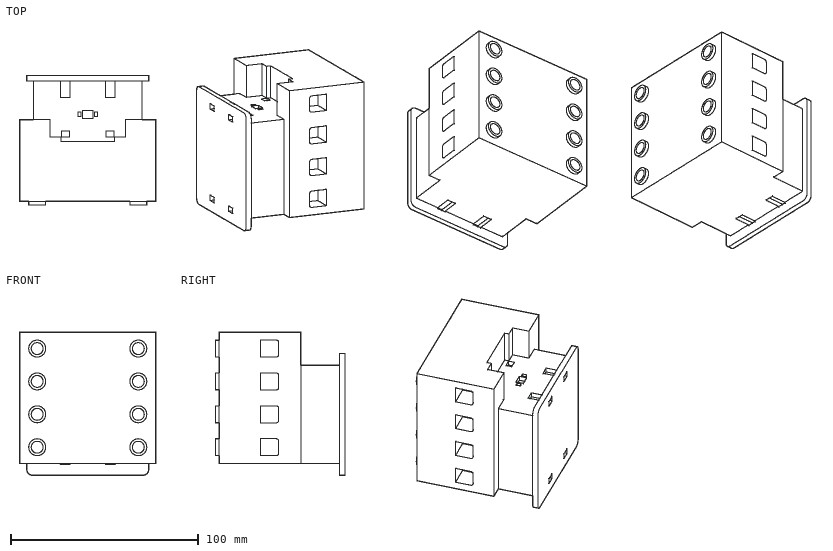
import cadquery as cq

block_width = 72.5
block_height = 70.0
block_depth = 43.5

overall_height = 76.25
bezel_size = 65.0
bezel_thickness = 3.0
bezel_corner_radius = 3.1
bezel_overhang = overall_height - block_height

housing_width = 57.95
housing_height = bezel_size - 2 * bezel_overhang

overall_depth = 69.0
boss_height = 2.0
boss_diameter = 9.0
boss_hole_diameter = 6.3
boss_hole_depth = 9.15
boss_offset = 26.9
row_count = 4
row_pitch = block_height / row_count

entry_front = 21.9
entry_length = 9.8
entry_height = 9.0
entry_depth = 11.4
entry_corner_radius = 1.3

bezel_back = overall_depth - boss_height
bezel_front = bezel_back - bezel_thickness

notch_width = 40.4
notch_depth = 9.15
notch_step_width = 28.5
notch_step_depth = 11.6

latch_offset = 12.05
latch_width = 5.1
latch_front = 55.2
latch_depth = 2.5
latch_bezel_clearance = 0.45

recess_depth = latch_depth
centre_recess_size = (5.4, 4.1)
centre_recess_y = 46.3
side_recess_size = (1.75, 2.4)
side_recess_offset = 4.4
corner_recess_size = (4.2, 3.2)
corner_recess_offset = 11.9
corner_recess_y = 35.8


def box(x_centre, width, y_start, y_end, z_start, z_end):
    """Box centred on x_centre, spanning the given y and z ranges."""
    return cq.Workplane("XY").box(
        width, y_end - y_start, z_end - z_start, centered=(True, False, False)
    ).translate((x_centre, y_start, z_start))


def front_cylinder(x, z, diameter, y_start, y_end):
    """Cylinder along y, spanning the given y range."""
    return (
        cq.Workplane("XZ", origin=(x, y_start, z))
        .circle(diameter / 2)
        .extrude(y_start - y_end)
    )


def wire_entry(side, z):
    """Pocket cut in from one side wall, rounded along its rear edges."""
    x_centre = side * (block_width - entry_depth) / 2
    pocket = box(
        x_centre, entry_depth,
        entry_front, entry_front + entry_length,
        z - entry_height / 2, z + entry_height / 2,
    )
    return pocket.faces(">Y").edges("|X").fillet(entry_corner_radius)


def top_recess(x, y, size):
    """Rectangular recess sunk into the top of the housing."""
    width, length = size
    return box(
        x, width, y - length / 2, y + length / 2,
        housing_height - recess_depth, housing_height,
    )


block = box(0, block_width, 0, block_depth, 0, block_height)
for width, depth in ((notch_width, notch_depth), (notch_step_width, notch_step_depth)):
    block = block.cut(
        box(0, width, block_depth - depth, block_depth, housing_height, block_height)
    )

housing = box(0, housing_width, block_depth, bezel_front, 0, housing_height)
bezel = box(
    0, bezel_size, bezel_front, bezel_back,
    -bezel_overhang, bezel_size - bezel_overhang,
).edges("|Y").fillet(bezel_corner_radius)
result = block.union(housing).union(bezel)

for row in range(row_count):
    row_z = (row + 0.5) * row_pitch
    for side in (-1, 1):
        boss_x = side * boss_offset
        boss = front_cylinder(boss_x, row_z, boss_diameter, -boss_height, 0)
        hole = front_cylinder(
            boss_x, row_z, boss_hole_diameter, -boss_height, boss_hole_depth - boss_height
        )
        result = result.union(boss).cut(hole).cut(wire_entry(side, row_z))

for side in (-1, 1):
    latch_x = side * latch_offset
    upper_latch = box(
        latch_x, latch_width, latch_front, bezel_back,
        housing_height - latch_depth, housing_height + latch_bezel_clearance,
    )
    lower_latch = box(
        latch_x, latch_width, latch_front, bezel_back,
        -latch_bezel_clearance, latch_depth,
    )
    result = result.cut(upper_latch).cut(lower_latch)

result = result.cut(top_recess(0, centre_recess_y, centre_recess_size))
for side in (-1, 1):
    result = result.cut(top_recess(side * side_recess_offset, centre_recess_y, side_recess_size))
    result = result.cut(top_recess(side * corner_recess_offset, corner_recess_y, corner_recess_size))